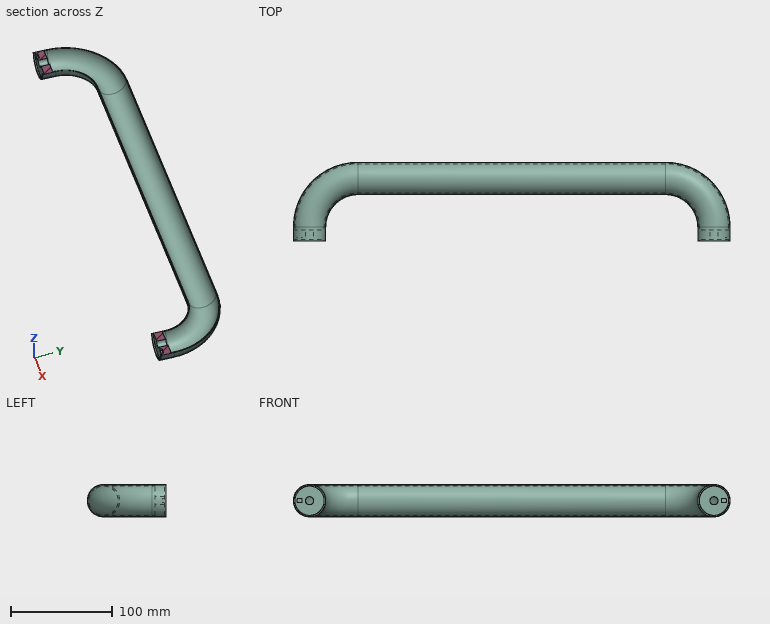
import cadquery as cq

tube_diameter = 32.0
wall_thickness = 1.5
leg_spacing = 400.0
projection = 78.0
bend_radius = 48.0

plug_thickness = 9.5
plug_recess = 1.5
screw_hole_diameter = 8.0
slot_width = 4.0
slot_depth = 2.0
slot_inner_end = 7.5
slot_outer_end = 12.4
slot_end_bulge = 0.5

tube_radius = tube_diameter / 2
bore_radius = tube_radius - wall_thickness
leg_x = leg_spacing / 2
grip_y = projection - tube_radius
leg_length = grip_y - bend_radius
bend_start_x = leg_x - bend_radius


def centreline():
    """U-shaped tube axis in the XY plane, from the left foot to the right foot."""
    return (
        cq.Workplane("XY")
        .moveTo(-leg_x, 0)
        .lineTo(-leg_x, leg_length)
        .radiusArc((-bend_start_x, grip_y), bend_radius)
        .lineTo(bend_start_x, grip_y)
        .radiusArc((leg_x, leg_length), bend_radius)
        .lineTo(leg_x, 0)
    )


def swept_rod(radius):
    """Solid round rod following the centreline."""
    return cq.Workplane("XZ").center(-leg_x, 0).circle(radius).sweep(centreline())


def end_plug(side):
    """Recessed disc closing one leg, with a screw hole and an outboard slot; side is -1 or +1."""
    outer_face = cq.Workplane("XZ", origin=(side * leg_x, plug_recess, 0))
    disc = outer_face.circle(bore_radius).extrude(-plug_thickness)
    screw_hole = outer_face.circle(screw_hole_diameter / 2).extrude(-plug_thickness)
    return disc.cut(screw_hole).cut(slot(outer_face, side))


def slot(outer_face, side):
    """Blind radial slot with a square inner end and a bulging outer end."""
    half_width = slot_width / 2
    arc_start = slot_outer_end - slot_end_bulge
    return (
        outer_face.moveTo(side * slot_inner_end, -half_width)
        .lineTo(side * arc_start, -half_width)
        .threePointArc((side * slot_outer_end, 0), (side * arc_start, half_width))
        .lineTo(side * slot_inner_end, half_width)
        .close()
        .extrude(-slot_depth)
    )


result = swept_rod(tube_radius).cut(swept_rod(bore_radius))
for leg_side in (-1, 1):
    result = result.union(end_plug(leg_side))